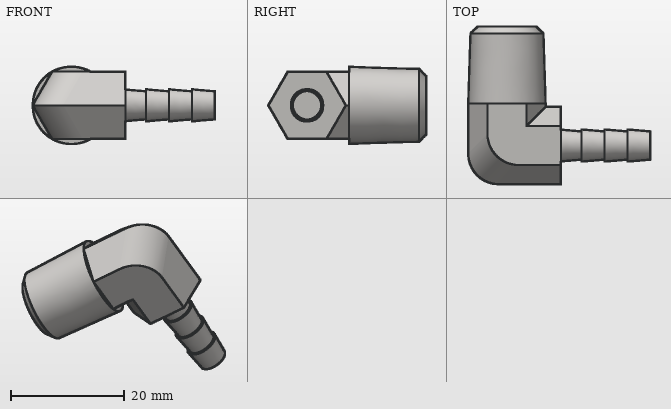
import cadquery as cq
import math

corner_radius = 6.85
flat_height = corner_radius * math.cos(math.pi / 6)
bend_radius = 5.45
hose_arm_end = 9.55
thread_arm_end = 7.45

thread_base_radius = 6.85
thread_tip_radius = 6.47
thread_end = 21.05
thread_chamfer_length = 1.25
thread_end_radius = 5.15

stem_end = 25.35
barb_count = 4
barb_pitch = 4.05
crest_radius = 2.87
barb_tip_radius = 2.5


def hex_arm(plane, end):
    """Hexagonal prism from the outer side of the elbow to the arm's end, corners in the XY plane."""
    return (
        cq.Workplane(plane)
        .workplane(offset=-corner_radius)
        .polygon(6, 2 * corner_radius)
        .extrude(corner_radius + end)
    )


def rounded_envelope():
    """Region inside the rounded outer corner; its walls lean inward above and below Z = 0."""
    low = -corner_radius
    far = 2 * max(hose_arm_end, thread_arm_end)
    bend_start = low + bend_radius
    bend_middle = low + bend_radius * (1 - math.sqrt(0.5))
    outline = (
        cq.Workplane("XY")
        .moveTo(far, low)
        .lineTo(bend_start, low)
        .threePointArc((bend_middle, bend_middle), (low, bend_start))
        .lineTo(low, far)
        .lineTo(far, far)
        .close()
        .val()
    )
    lean = corner_radius / 2
    upper = cq.Solid.extrudeLinear(outline, [], cq.Vector(lean, lean, flat_height))
    return cq.Workplane(obj=upper).union(cq.Workplane(obj=upper.mirror("XY")))


def elbow():
    hose_arm = hex_arm("YZ", hose_arm_end)
    thread_plane = cq.Plane(origin=(0, 0, 0), xDir=(1, 0, 0), normal=(0, 1, 0))
    thread_arm = hex_arm(thread_plane, thread_arm_end)
    return hose_arm.union(thread_arm).intersect(rounded_envelope())


def thread():
    return (
        cq.Workplane("XY")
        .moveTo(0, thread_arm_end)
        .lineTo(thread_base_radius, thread_arm_end)
        .lineTo(thread_tip_radius, thread_end - thread_chamfer_length)
        .lineTo(thread_end_radius, thread_end)
        .lineTo(0, thread_end)
        .close()
        .revolve(360, (0, 0, 0), (0, 1, 0))
    )


def hose_stem():
    """Row of tapered barbs; the elbow's end face cuts off the start of the first one."""
    stem_start = stem_end - barb_count * barb_pitch
    profile = [(stem_start, 0)]
    for i in range(barb_count):
        barb_start = stem_start + i * barb_pitch
        profile.append((barb_start, crest_radius))
        profile.append((barb_start + barb_pitch, barb_tip_radius))
    profile.append((stem_end, 0))
    return cq.Workplane("XY").polyline(profile).close().revolve(360, (0, 0, 0), (1, 0, 0))


result = elbow().union(thread()).union(hose_stem())